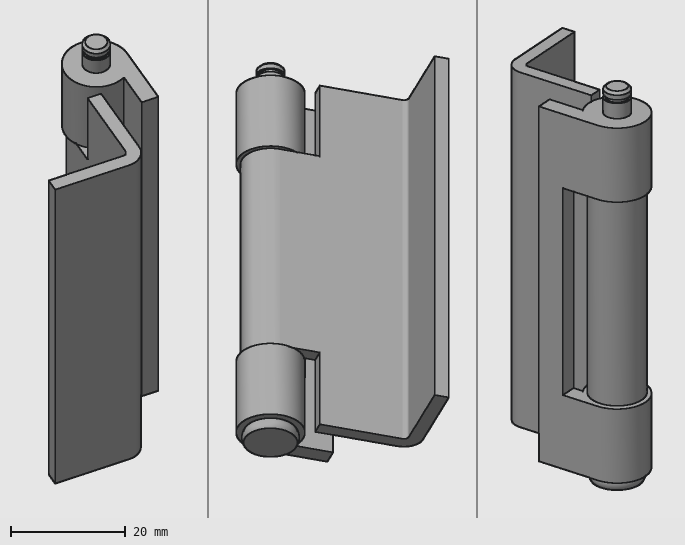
import cadquery as cq

leaf_height = 69.95
end_knuckle_height = 14.6
knuckle_gap = 0.2
notch_edge_x = 7.3

end_knuckle_radius = 6.0
plain_leaf_thickness = 3.25
plain_leaf_end_x = 12.4

middle_knuckle_radius = 5.25
bent_leaf_thickness = 2.6
bend_inner_radius = 0.9
overall_width = 32.0
overall_depth = 26.6
flange_outer_x = overall_width - end_knuckle_radius
flange_end_y = end_knuckle_radius - overall_depth
middle_knuckle_bottom = end_knuckle_height + knuckle_gap
middle_knuckle_top = leaf_height - end_knuckle_height

overall_height = 77.2
pin_radius = 2.5
head_radius = 5.0
head_height = 2.1
head_bulge = 0.3
pin_top = overall_height - head_height
pin_chamfer = 0.55
groove_radius = 2.1
groove_width = 0.7
groove_top = pin_top - 1.5


def cylinder(radius, bottom, top):
    """Cylinder on the hinge axis."""
    return cq.Workplane("XY").workplane(offset=bottom).circle(radius).extrude(top - bottom)


def block(x_range, y_range, z_range):
    """Axis-aligned box between pairs of coordinates."""
    (x0, x1), (y0, y1), (z0, z1) = x_range, y_range, z_range
    return cq.Workplane("XY").box(x1 - x0, y1 - y0, z1 - z0, centered=False).translate((x0, y0, z0))


def make_plain_leaf():
    """Flat leaf tangent to the +Y side of its two end knuckles."""
    y_range = (end_knuckle_radius - plain_leaf_thickness, end_knuckle_radius)
    leaf = block((notch_edge_x, plain_leaf_end_x), y_range, (0, leaf_height))
    for bottom in (0, leaf_height - end_knuckle_height):
        top = bottom + end_knuckle_height
        leaf = leaf.union(cylinder(end_knuckle_radius, bottom, top))
        leaf = leaf.union(block((0, notch_edge_x), y_range, (bottom, top)))
    return leaf.cut(cylinder(pin_radius, 0, leaf_height))


def make_bent_leaf():
    """L-shaped leaf tangent to the -Y side of its middle knuckle."""
    outside_y = bent_leaf_thickness - middle_knuckle_radius
    inside_y = -middle_knuckle_radius
    inside_x = flange_outer_x - bent_leaf_thickness
    bend_outer_radius = bend_inner_radius + bent_leaf_thickness
    bend_x = inside_x - bend_inner_radius
    bend_y = inside_y - bend_inner_radius
    leaf = (
        cq.Workplane("XY")
        .moveTo(notch_edge_x, inside_y)
        .lineTo(bend_x, inside_y)
        .radiusArc((inside_x, bend_y), bend_inner_radius)
        .lineTo(inside_x, flange_end_y)
        .lineTo(flange_outer_x, flange_end_y)
        .lineTo(flange_outer_x, bend_y)
        .radiusArc((bend_x, outside_y), -bend_outer_radius)
        .lineTo(notch_edge_x, outside_y)
        .close()
        .extrude(leaf_height)
    )
    z_range = (middle_knuckle_bottom, middle_knuckle_top)
    leaf = leaf.union(cylinder(middle_knuckle_radius, *z_range))
    leaf = leaf.union(block((0, notch_edge_x), (inside_y, outside_y), z_range))
    return leaf.cut(cylinder(pin_radius, *z_range))


def make_pin():
    """Pin with a barrel-shaped head below and a retaining-ring groove near its chamfered top."""
    head_face_radius = head_radius - head_bulge
    head = (
        cq.Workplane("XZ")
        .moveTo(0, -head_height)
        .lineTo(head_face_radius, -head_height)
        .threePointArc((head_radius, -head_height / 2), (head_face_radius, 0))
        .lineTo(0, 0)
        .close()
        .revolve(360, (0, 0, 0), (0, 1, 0))
    )
    shank = cylinder(pin_radius, 0, pin_top).faces(">Z").chamfer(pin_chamfer)
    groove_bottom = groove_top - groove_width
    groove = cylinder(pin_radius, groove_bottom, groove_top).cut(
        cylinder(groove_radius, groove_bottom, groove_top)
    )
    return head.union(shank).cut(groove)


plain_leaf = make_plain_leaf()
bent_leaf = make_bent_leaf()
pin = make_pin()

result = cq.Compound.makeCompound([plain_leaf.val(), bent_leaf.val(), pin.val()])